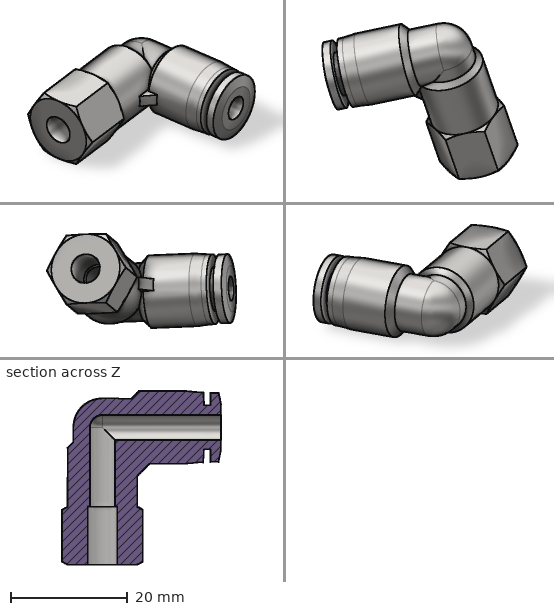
import cadquery as cq
import math

elbow_radius = 5.0

nut_flats = 12.0
nut_end = 23.5
nut_length = 9.97
nut_start = nut_end - nut_length
nut_corner_radius = nut_flats / math.sqrt(3)
nut_bevel_angle = math.radians(30)
sleeve_radius = nut_flats / 2
sleeve_start = 2.5
sleeve_chamfer = sleeve_radius - elbow_radius

socket_radius = 6.25
socket_start = elbow_radius
socket_chamfer = socket_radius - elbow_radius
taper_start = 14.22
taper_end = 16.33
taper_end_radius = 6.05
socket_end = 17.28
socket_end_radius = 6.0
socket_face_bulge = 0.12

stem_radius = 3.8
collar_radius = 5.92
collar_start = 18.47
collar_bevel_start = 19.9
collar_end = 20.3
collar_end_radius = 3.95

rib_width = 2.08
rib_reach = 14.28

bore_radius = 2.1
entry_bore_radius = 2.5
entry_bore_depth = nut_length


def turn_about_x(profile):
    """Revolve (x, radius) points about the X axis."""
    return cq.Workplane("XY").polyline(profile).close().revolve(360, (0, 0, 0), (1, 0, 0))


def turn_about_y(profile):
    """Revolve (distance along -Y, radius) points about the Y axis."""
    points = [(radius, -distance) for distance, radius in profile]
    return cq.Workplane("XY").polyline(points).close().revolve(360, (0, 0, 0), (0, 1, 0))


def rounded_corner(radius, x_length, y_length):
    """Ball at the origin joined to a cylinder along +X and one along -Y."""
    ball = cq.Workplane("XY").sphere(radius)
    x_arm = cq.Workplane("YZ").circle(radius).extrude(x_length)
    y_arm = cq.Workplane("XZ").circle(radius).extrude(y_length)
    return ball.union(x_arm).union(y_arm)


def make_sleeve():
    return turn_about_y([
        (sleeve_start, 0),
        (sleeve_start, elbow_radius),
        (sleeve_start + sleeve_chamfer, sleeve_radius),
        (nut_start, sleeve_radius),
        (nut_start, 0),
    ])


def make_nut():
    hexagon = (
        cq.Workplane("XZ", origin=(0, -nut_start, 0))
        .polygon(6, 2 * nut_corner_radius)
        .extrude(nut_length)
    )
    bevel = (nut_corner_radius - sleeve_radius) * math.tan(nut_bevel_angle)
    envelope = turn_about_y([
        (nut_start, 0),
        (nut_start, sleeve_radius),
        (nut_start + bevel, nut_corner_radius),
        (nut_end - bevel, nut_corner_radius),
        (nut_end, sleeve_radius),
        (nut_end, 0),
    ])
    return hexagon.intersect(envelope)


def make_socket():
    return turn_about_x([
        (socket_start, 0),
        (socket_start, elbow_radius),
        (socket_start + socket_chamfer, socket_radius),
        (taper_start, socket_radius),
        (taper_end, taper_end_radius),
        (socket_end, socket_end_radius),
        (socket_end + socket_face_bulge, stem_radius),
        (collar_start, stem_radius),
        (collar_start, collar_radius),
        (collar_bevel_start, collar_radius),
        (collar_end, collar_end_radius),
        (collar_end, 0),
    ])


def make_rib():
    corner = elbow_radius / 2
    return (
        cq.Workplane("XY")
        .polyline([
            (corner, -corner),
            (rib_reach - corner, -corner),
            (corner, corner - rib_reach),
        ])
        .close()
        .extrude(rib_width / 2, both=True)
    )


def make_passage():
    passage = rounded_corner(bore_radius, collar_end, nut_end)
    entry = (
        cq.Workplane("XZ", origin=(0, entry_bore_depth - nut_end, 0))
        .circle(entry_bore_radius)
        .extrude(entry_bore_depth)
    )
    return passage.union(entry)


body = rounded_corner(elbow_radius, socket_start, nut_start)
for section in (make_sleeve(), make_nut(), make_socket(), make_rib()):
    body = body.union(section)
result = body.cut(make_passage())